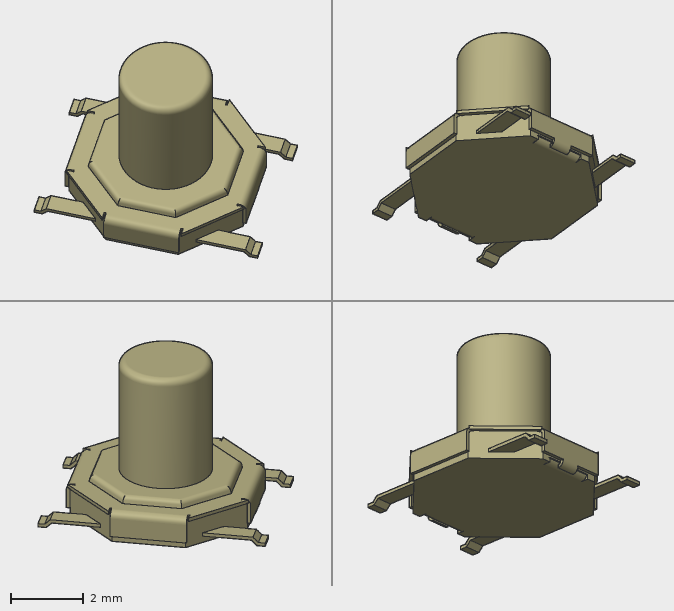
import cadquery as cq
import math

cover_span = 5.2
sheet = 0.1
bend_radius = 0.2
cover_top = 0.95
tab_bottom = 0.2
tab_width = 2.15
slot_width = 0.05
slot_run = 0.06
boss_span = 4.005
boss_top = 1.15
boss_draft = 14.0
boss_round = 0.15
tongue_width = 0.59
tongue_shift = -0.03

notch_width = 1.51
notch_height = 0.14
notch_inset = 0.03
lead_span = 6.4
lead_width = 0.5
lead_thickness = 0.1
lead_offset = 1.84
lead_height = 0.2
foot_height = 0.045
foot_length = 0.19
lead_root = 1.28

button_top = 4.5
button_diameter = 2.6
button_round = 0.2

cover_reach = cover_span / 2
base_reach = cover_reach - sheet
base_top = cover_top - sheet
inner_radius = bend_radius - sheet
bend_line = cover_reach - bend_radius
octagon_angle = 360 / 8
diagonal = math.sqrt(0.5)


def octagon_prism(across_flats, bottom, height, taper=0.0):
    """Upright regular octagon with flats facing the X and Y axes."""
    diameter = across_flats / math.cos(math.radians(octagon_angle / 2))
    return (
        cq.Workplane("XY", origin=(0, 0, bottom))
        .transformed(rotate=(0, 0, octagon_angle / 2))
        .polygon(8, diameter)
        .extrude(height, taper=taper)
    )


def slab(outline, width, center=0.0):
    """Extrude a closed XZ outline along Y, to equal distances from the given centre."""
    return outline.extrude(width / 2, both=True).translate((0, center, 0))


def four_sides(body):
    return [body.rotate((0, 0, 0), (0, 0, 1), angle) for angle in (0, 90, 180, 270)]


def make_tab():
    """Tab on the +X side: a quarter bend off the top sheet, then a straight leg."""
    bend_z = cover_top - bend_radius
    outline = (
        cq.Workplane("XZ")
        .moveTo(bend_line, cover_top)
        .threePointArc(
            (bend_line + bend_radius * diagonal, bend_z + bend_radius * diagonal),
            (cover_reach, bend_z),
        )
        .lineTo(cover_reach, tab_bottom)
        .lineTo(base_reach, tab_bottom)
        .lineTo(base_reach, bend_z)
        .threePointArc(
            (bend_line + inner_radius * diagonal, bend_z + inner_radius * diagonal),
            (bend_line, base_top),
        )
        .close()
    )
    return slab(outline, tab_width)


def make_tongue():
    """Clip on the +X side: a quarter bend from the foot of the tab to under the base."""
    outline = (
        cq.Workplane("XZ")
        .moveTo(cover_reach, tab_bottom)
        .threePointArc(
            (bend_line + bend_radius * diagonal, tab_bottom - bend_radius * diagonal),
            (bend_line, tab_bottom - bend_radius),
        )
        .lineTo(bend_line, tab_bottom - inner_radius)
        .threePointArc(
            (bend_line + inner_radius * diagonal, tab_bottom - inner_radius * diagonal),
            (base_reach, tab_bottom),
        )
        .close()
    )
    return slab(outline, tongue_width, tongue_shift)


def make_tab_clearance():
    """Opening in the top sheet for the +X tab: the bend strip and two relief slots."""
    opening_width = tab_width + 2 * slot_width
    slot_start = bend_line - slot_run
    slot_length = cover_reach - slot_start
    opening = cq.Workplane("XY").box(
        bend_radius, opening_width, sheet, centered=(False, True, False)
    ).translate((bend_line, 0, base_top))
    for side in (-1, 1):
        slot = cq.Workplane("XY").box(
            slot_length, slot_width, sheet, centered=(False, True, False)
        ).translate((slot_start, side * (tab_width + slot_width) / 2, base_top))
        opening = opening.union(slot)
    return opening


def make_cover(tongues):
    cover = octagon_prism(cover_span, base_top, sheet)
    for opening in four_sides(make_tab_clearance()):
        cover = cover.cut(opening)
    boss = octagon_prism(boss_span, cover_top, boss_top - cover_top, boss_draft)
    cover = cover.union(boss.faces(">Z").edges().fillet(boss_round))
    for piece in four_sides(make_tab()) + tongues:
        cover = cover.union(piece)
    return cover


def make_notch():
    """Notch under the +X side of the base, with a rounded inner wall."""
    wall_center = base_reach - notch_inset - bend_radius
    block = cq.Workplane("XY").box(
        base_reach - wall_center, notch_width, notch_height, centered=(False, True, False)
    ).translate((wall_center, 0, 0))
    wall = slab(cq.Workplane("XZ").center(wall_center, bend_radius).circle(bend_radius), notch_width)
    return block.cut(wall)


def make_lead():
    """Lead on the +X, +Y corner, stepped down to a foot."""
    tip = lead_span / 2
    foot_start = tip - foot_length
    step = lead_height - foot_height
    step_start = foot_start - step
    miter = lead_thickness * math.tan(math.radians(45 / 2))
    outline = (
        cq.Workplane("XZ")
        .moveTo(lead_root, lead_height)
        .lineTo(step_start - miter, lead_height)
        .lineTo(foot_start - miter, foot_height)
        .lineTo(tip, foot_height)
        .lineTo(tip, foot_height + lead_thickness)
        .lineTo(foot_start, foot_height + lead_thickness)
        .lineTo(step_start, lead_height + lead_thickness)
        .lineTo(lead_root, lead_height + lead_thickness)
        .close()
    )
    return slab(outline, lead_width, lead_offset)


def make_base(tongues):
    base = octagon_prism(2 * base_reach, 0, base_top)
    base = base.faces(">Z").edges("|X or |Y").fillet(inner_radius)
    notch = make_notch()
    for recess in [notch, notch.mirror("YZ")] + tongues:
        base = base.cut(recess)
    lead = make_lead()
    for back_lead in (lead, lead.mirror("YZ")):
        base = base.union(back_lead).union(back_lead.mirror("XZ"))
    return base


def make_button():
    return (
        cq.Workplane("XY", origin=(0, 0, boss_top))
        .circle(button_diameter / 2)
        .extrude(button_top - boss_top)
        .faces(">Z")
        .edges()
        .fillet(button_round)
    )


tongue = make_tongue()
tongue_pair = [tongue, tongue.mirror("YZ")]
base = make_base(tongue_pair)
cover = make_cover(tongue_pair)
button = make_button()

result = cq.Compound.makeCompound(
    [*base.solids().vals(), *cover.solids().vals(), *button.solids().vals()]
)